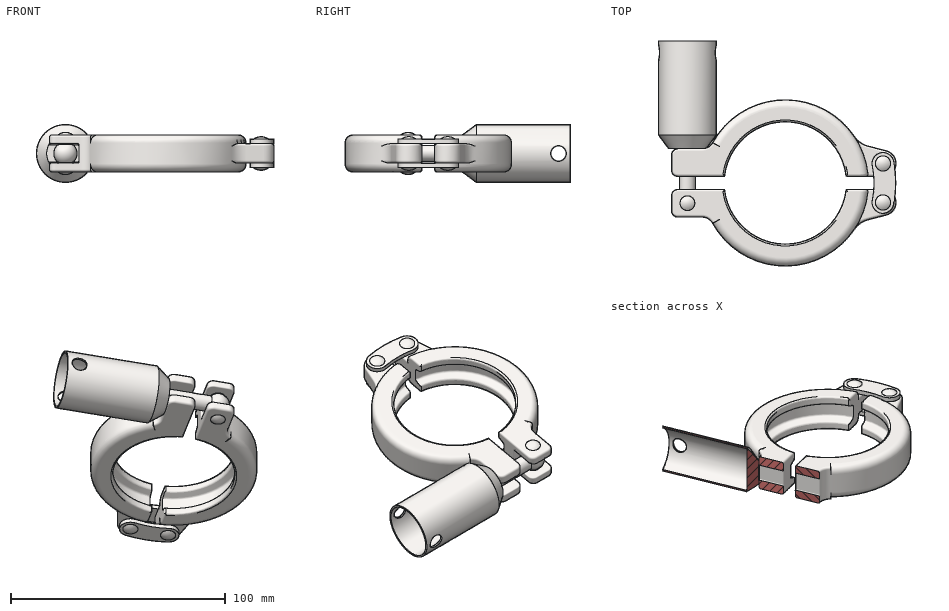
import cadquery as cq
import math

ring_radius = 38.7
bore_radius = 28.4
bore_stock = 0.1
half_height = 8.6
rim_fillet = 3.6
edge_fillet = 1.1
half_gap = 3.0
blank_bore = bore_radius - bore_stock

groove_radius = 32.3
groove_wall_half = 3.4
groove_angle = math.radians(20)
lip_fillet = 0.9
groove_fillet = 1.1

tab_end_x = -53.0
tab_outer_y = 15.9
tab_corner = 3.0
tab_blend = 5.5
slot_end_x = -39.3
upper_slot_half = 4.0
lower_slot_half = 4.5
slot_fillet = 0.5

hinge_x = 45.5
hinge_y = 9.1
lug_radius = 6.1
lug_half_height = 4.5
lug_slope = math.radians(14.6)
lug_blend = 11.1
lug_root_x = 35.4
link_half_width = 5.1
link_thickness = 2.1
hinge_pin_radius = 3.5
pin_head_rise = 1.2

bolt_x = -45.6
bolt_pin_y = -9.4
bolt_pin_radius = 3.4
shank_radius = 3.8
ball_radius = 5.4
nut_radius = 13.5
nut_tip_radius = 8.7
nut_cone_length = 6.4
nut_end_y = 66.1
nut_wall = 0.9
nut_hole_radius = 3.5
nut_hole_inset = 5.5


def slab(outline, half):
    """Extrude an outline drawn on XY by the same distance up and down."""
    return outline.extrude(half, both=True)


def polar(center, radius, angle):
    """Point at a distance and direction from a center."""
    return (center[0] + radius * math.cos(angle), center[1] + radius * math.sin(angle))


def domed_pin(x, y, radius, shoulder_z):
    """Pin along Z with a domed head at each end, rising above +/- shoulder_z."""
    tip_z = shoulder_z + pin_head_rise
    dome_radius = (radius**2 + pin_head_rise**2) / (2 * pin_head_rise)
    mid_angle = math.asin(radius / dome_radius) / 2
    mid_x = dome_radius * math.sin(mid_angle)
    mid_z = tip_z - dome_radius * (1 - math.cos(mid_angle))
    profile = (
        cq.Workplane("XZ")
        .moveTo(0, -tip_z)
        .threePointArc((mid_x, -mid_z), (radius, -shoulder_z))
        .lineTo(radius, shoulder_z)
        .threePointArc((mid_x, mid_z), (0, tip_z))
        .close()
    )
    return profile.revolve(360, (0, 0), (0, 1)).translate((x, y, 0))


def half_ring():
    """Plain half ring with rounded rims and rounded end faces."""
    disc = slab(cq.Workplane("XY").circle(ring_radius), half_height)
    disc = disc.edges().fillet(rim_fillet)
    ring = disc.cut(slab(cq.Workplane("XY").circle(blank_bore), half_height))
    keep_size = 2 * ring_radius
    keep = cq.Workplane("XY").box(keep_size, keep_size, keep_size, centered=(True, False, True))
    half = ring.intersect(keep.translate((0, half_gap, 0)))
    return half.faces("<Y").edges().fillet(edge_fillet)


def tab():
    """Rounded tab that runs into the ring along a concave arc."""
    arc_y = tab_outer_y + tab_blend
    arc_distance = ring_radius + tab_blend
    arc_center = (-math.sqrt(arc_distance**2 - arc_y**2), arc_y)
    to_ring = math.atan2(-arc_center[1], -arc_center[0])
    arc_mid = polar(arc_center, tab_blend, (to_ring - math.pi / 2) / 2)
    arc_end = polar(arc_center, tab_blend, to_ring)
    bore_top = polar((0, 0), blank_bore, to_ring + math.pi)
    bore_gap = (-math.sqrt(blank_bore**2 - half_gap**2), half_gap)
    bore_mid_angle = (to_ring + 2 * math.pi - math.asin(half_gap / blank_bore)) / 2
    bore_mid = polar((0, 0), blank_bore, bore_mid_angle)
    outline = (
        cq.Workplane("XY")
        .moveTo(*bore_gap)
        .lineTo(tab_end_x, half_gap)
        .lineTo(tab_end_x, tab_outer_y)
        .lineTo(arc_center[0], tab_outer_y)
        .threePointArc(arc_mid, arc_end)
        .lineTo(*bore_top)
        .threePointArc(bore_mid, bore_gap)
        .close()
    )
    body = slab(outline, half_height).edges("|Z and <X").fillet(tab_corner)
    return body.faces("<Y").edges("not(|Z)").fillet(edge_fillet)


def lug():
    """Lug around the hinge pin, with a sloping outer side that blends into the ring."""
    normal = (math.sin(lug_slope), math.cos(lug_slope))
    side_offset = hinge_x * normal[0] + hinge_y * normal[1] + lug_radius
    side_end = (hinge_x + lug_radius * normal[0], hinge_y + lug_radius * normal[1])
    center_offset = side_offset + lug_blend
    center_along = math.sqrt((ring_radius + lug_blend) ** 2 - center_offset**2)
    arc_center = (
        center_offset * normal[0] + center_along * normal[1],
        center_offset * normal[1] - center_along * normal[0],
    )
    to_side = -math.pi / 2 - lug_slope
    to_ring = math.atan2(-arc_center[1], -arc_center[0])
    outline = (
        cq.Workplane("XY")
        .moveTo(lug_root_x, half_gap)
        .lineTo(hinge_x, half_gap)
        .threePointArc((hinge_x + lug_radius, hinge_y), side_end)
        .lineTo(*polar(arc_center, lug_blend, to_side))
        .threePointArc(
            polar(arc_center, lug_blend, (to_side + to_ring) / 2),
            polar(arc_center, lug_blend, to_ring),
        )
        .close()
    )
    return slab(outline, lug_half_height).faces("|Z").edges().fillet(edge_fillet)


def flange_void():
    """Bore and V-groove cut into the halves, leaving two lips with rounded edges."""
    groove_mouth_half = groove_wall_half + (groove_radius - bore_radius) * math.tan(groove_angle)
    groove_corners = cq.selectors.BoxSelector(
        (-ring_radius, -ring_radius, -groove_wall_half - bore_stock),
        (ring_radius, ring_radius, groove_wall_half + bore_stock),
        boundingbox=True,
    )
    lips = (
        cq.Workplane("XZ")
        .moveTo(bore_radius, half_height)
        .lineTo(ring_radius, half_height)
        .lineTo(ring_radius, -half_height)
        .lineTo(bore_radius, -half_height)
        .lineTo(bore_radius, -groove_mouth_half)
        .lineTo(groove_radius, -groove_wall_half)
        .lineTo(groove_radius, groove_wall_half)
        .lineTo(bore_radius, groove_mouth_half)
        .close()
        .revolve(360, (0, 0), (0, 1))
        .edges(cq.selectors.RadiusNthSelector(0))
        .fillet(lip_fillet)
        .edges(groove_corners)
        .fillet(groove_fillet)
    )
    return slab(cq.Workplane("XY").circle(ring_radius), half_height).cut(lips)


def clamp_half(slot_half):
    """Half clamp with a lug on +X and, on -X, two tabs parted by a slot for the bolt."""
    body = half_ring().union(tab()).union(lug()).cut(flange_void())
    slot_length = slot_end_x - tab_end_x
    slot = cq.Workplane("XY").box(slot_length, 2 * ring_radius, 2 * slot_half, centered=(False, True, True))
    body = body.cut(slot.translate((tab_end_x, 0, 0)))
    slot_zone = cq.selectors.BoxSelector(
        (tab_end_x - edge_fillet, 0, -slot_half - edge_fillet / 2),
        (slot_end_x + edge_fillet, ring_radius, slot_half + edge_fillet / 2),
    )
    return body.edges(slot_zone).fillet(slot_fillet)


def hinge_pin():
    """Hinge pin of the +Y half, with its heads on the outer faces of the link plates."""
    return domed_pin(hinge_x, hinge_y, hinge_pin_radius, lug_half_height + link_thickness)


def make_nut():
    """Long cup-shaped nut with a solid tapered tip and a cross hole near its open end."""
    cone_end_y = tab_outer_y + nut_cone_length
    body = (
        cq.Workplane("XY")
        .moveTo(0, tab_outer_y)
        .lineTo(nut_tip_radius, tab_outer_y)
        .lineTo(nut_radius, cone_end_y)
        .lineTo(nut_radius, nut_end_y)
        .lineTo(0, nut_end_y)
        .close()
        .revolve(360, (0, 0), (0, 1))
    )
    hole = cq.Workplane("YZ").center(nut_end_y - nut_hole_inset, 0).circle(nut_hole_radius)
    cavity_length = nut_end_y - cone_end_y
    cavity = cq.Workplane("XZ").circle(nut_radius - nut_wall).extrude(-cavity_length)
    body = body.cut(cavity.translate((0, cone_end_y, 0)))
    return body.cut(hole.extrude(nut_radius, both=True)).translate((bolt_x, 0, 0))


def make_upper_half():
    """Half on the +Y side, holed for its hinge pin and relieved where the nut seats."""
    return clamp_half(upper_slot_half).cut(hinge_pin()).cut(make_nut())


def link_plate():
    """Curved plate on the pin circle, rounded about both hinge pins."""
    pin_circle = math.hypot(hinge_x, hinge_y)
    pin_angle = math.atan2(hinge_y, hinge_x)
    inner = pin_circle - link_half_width
    outer = pin_circle + link_half_width
    upper_pin = (hinge_x, hinge_y)
    lower_pin = (hinge_x, -hinge_y)
    outline = (
        cq.Workplane("XY")
        .moveTo(*polar((0, 0), inner, -pin_angle))
        .threePointArc((inner, 0), polar((0, 0), inner, pin_angle))
        .threePointArc(
            polar(upper_pin, link_half_width, pin_angle + math.pi / 2),
            polar((0, 0), outer, pin_angle),
        )
        .threePointArc((outer, 0), polar((0, 0), outer, -pin_angle))
        .threePointArc(
            polar(lower_pin, link_half_width, -pin_angle - math.pi / 2),
            polar((0, 0), inner, -pin_angle),
        )
        .close()
    )
    return outline.extrude(link_thickness).translate((0, 0, lug_half_height))


def bolt_pin():
    """Cross pin of the swing bolt, with its heads on the outer faces of the tabs."""
    return domed_pin(bolt_x, bolt_pin_y, bolt_pin_radius, half_height)


def make_lower_half():
    """Half on the -Y side, joined to both link plates and both hinge pins."""
    body = clamp_half(lower_slot_half).mirror("XZ")
    plate = link_plate()
    body = body.union(plate).union(plate.mirror("XY"))
    body = body.union(hinge_pin()).union(hinge_pin().mirror("XZ"))
    return body.cut(bolt_pin())


def make_swing_bolt():
    """Bolt whose flattened ball swings between the lower tabs, with the nut at its far end."""
    ball = cq.Workplane("XY").sphere(ball_radius)
    between_tabs = cq.Workplane("XY").box(2 * ball_radius, 2 * ball_radius, 2 * lower_slot_half)
    ball = ball.intersect(between_tabs).translate((bolt_x, bolt_pin_y, 0))
    shank_length = tab_outer_y - bolt_pin_y
    shank = cq.Workplane("XZ").circle(shank_radius).extrude(-shank_length)
    shank = shank.translate((bolt_x, bolt_pin_y, 0))
    return ball.union(shank).union(bolt_pin()).union(make_nut())


upper_half = make_upper_half()
lower_half = make_lower_half()
swing_bolt = make_swing_bolt()
result = cq.Compound.makeCompound([upper_half.val(), lower_half.val(), swing_bolt.val()])